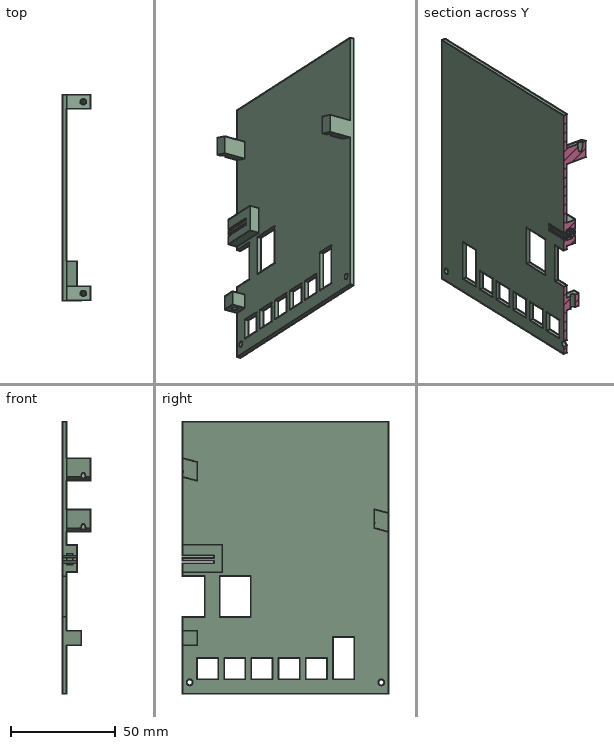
import cadquery as cq
import math

PANEL_THICKNESS = 2.1
PANEL_WIDTH = 98.5
PANEL_HEIGHT = 130.0
LEFT_EDGE = PANEL_WIDTH / 2
RIGHT_EDGE = -PANEL_WIDTH / 2
HOLE_DIAMETER = 2.7

BUTTON_SIZE = 10.0
BUTTON_PITCH = 13.0
BUTTON_COUNT = 5
BUTTON_SILL = 7.0
FIRST_BUTTON_OFFSET = 29.5
TALL_WINDOW_HEIGHT = 2 * BUTTON_SIZE
TALL_WINDOW_OFFSET = FIRST_BUTTON_OFFSET - BUTTON_PITCH

CONNECTOR_SILL = 36.8
CONNECTOR_HEIGHT = 19.5
CONNECTOR_OFFSET = 65.9
CONNECTOR_WIDTH = 14.7
NOTCH_DEPTH = 10.7

CORNER_HOLE_INSET = 3.5
CORNER_HOLE_HEIGHT = 5.5

BLOCK_REACH = 13.5
BLOCK_WIDTH = 6.8
BLOCK_HEIGHT = 9.0
BLOCK_SLANT = 15.0
BLOCK_HOLE_TILT = 18.0
BLOCK_HOLE_X = 10.0
RIGHT_BLOCK_TOP = 112.6
LEFT_BLOCK_TOP = 88.1
RIGHT_BLOCK_INSET = 0.3

LUG_SIZE = 7.0
LUG_BOTTOM = 23.1

GUIDE_REACH = 7.0
GUIDE_WIDTH = 19.0
GUIDE_HEIGHT = 13.0
GUIDE_BOTTOM = 58.1
SLOT_LENGTH = 15.1
SLOT_HEIGHT = 1.0
SLOT_CENTER = 64.2
TONGUE_HEIGHT = 1.4
POCKET_HEIGHT = 5.3
POCKET_REACH = 2.9
POCKET_DEPTH = 5.2


def box(x_min, x_max, y_min, y_max, z_min, z_max):
    """Axis-aligned box given by its limits."""
    size = (x_max - x_min, y_max - y_min, z_max - z_min)
    return cq.Workplane().box(*size, centered=False).translate((x_min, y_min, z_min))


def window(offset, width, sill, height):
    """Cutter through the panel, its offset measured from the +Y edge."""
    y_max = LEFT_EDGE - offset
    return box(0, PANEL_THICKNESS, y_max - width, y_max, sill, sill + height)


def slanted_block(y_min, top):
    """Block with slanted ends falling toward +Y and a hole leaning toward -Y as it goes down."""
    drop = BLOCK_WIDTH * math.tan(math.radians(BLOCK_SLANT))
    y_max = y_min + BLOCK_WIDTH
    outline = [
        (y_min, top),
        (y_max, top - drop),
        (y_max, top - drop - BLOCK_HEIGHT),
        (y_min, top - BLOCK_HEIGHT),
    ]
    block = cq.Workplane("YZ").polyline(outline).close().extrude(BLOCK_REACH)
    tilt = math.radians(BLOCK_HOLE_TILT)
    axis = cq.Vector(0, math.sin(tilt), math.cos(tilt))
    hole_mouth = cq.Vector(BLOCK_HOLE_X, y_min + BLOCK_WIDTH / 2, top - drop / 2)
    hole = cq.Solid.makeCylinder(
        HOLE_DIAMETER / 2, 4 * BLOCK_HEIGHT, hole_mouth - axis * (2 * BLOCK_HEIGHT), axis
    )
    return block.cut(cq.Workplane(hole))


def lug():
    """Square lug with a vertical hole through its middle."""
    x_max = PANEL_THICKNESS + LUG_SIZE
    body = box(0, x_max, RIGHT_EDGE, RIGHT_EDGE + LUG_SIZE, LUG_BOTTOM, LUG_BOTTOM + LUG_SIZE)
    hole = (
        cq.Workplane()
        .center(PANEL_THICKNESS + LUG_SIZE / 2, RIGHT_EDGE + LUG_SIZE / 2)
        .circle(HOLE_DIAMETER / 2)
        .extrude(PANEL_HEIGHT)
    )
    return body.cut(hole)


panel = box(0, PANEL_THICKNESS, RIGHT_EDGE, LEFT_EDGE, 0, PANEL_HEIGHT)
panel = panel.cut(window(TALL_WINDOW_OFFSET, BUTTON_SIZE, BUTTON_SILL, TALL_WINDOW_HEIGHT))
for index in range(BUTTON_COUNT):
    button_offset = FIRST_BUTTON_OFFSET + index * BUTTON_PITCH
    panel = panel.cut(window(button_offset, BUTTON_SIZE, BUTTON_SILL, BUTTON_SIZE))
panel = panel.cut(window(CONNECTOR_OFFSET, CONNECTOR_WIDTH, CONNECTOR_SILL, CONNECTOR_HEIGHT))
panel = panel.cut(window(PANEL_WIDTH - NOTCH_DEPTH, NOTCH_DEPTH, CONNECTOR_SILL, CONNECTOR_HEIGHT))

corner_holes = (
    cq.Workplane("YZ")
    .pushPoints([(side * (LEFT_EDGE - CORNER_HOLE_INSET), CORNER_HOLE_HEIGHT) for side in (-1, 1)])
    .circle(HOLE_DIAMETER / 2)
    .extrude(PANEL_THICKNESS)
)
panel = panel.cut(corner_holes)

result = (
    panel.union(slanted_block(RIGHT_EDGE + RIGHT_BLOCK_INSET, RIGHT_BLOCK_TOP))
    .union(slanted_block(LEFT_EDGE - BLOCK_WIDTH, LEFT_BLOCK_TOP))
    .union(lug())
)

guide_top = GUIDE_BOTTOM + GUIDE_HEIGHT
result = result.union(
    box(0, GUIDE_REACH, RIGHT_EDGE, RIGHT_EDGE + GUIDE_WIDTH, GUIDE_BOTTOM, guide_top)
)
slot_offset = (TONGUE_HEIGHT + SLOT_HEIGHT) / 2
for side in (-1, 1):
    slot_bottom = SLOT_CENTER + side * slot_offset - SLOT_HEIGHT / 2
    slot_top = slot_bottom + SLOT_HEIGHT
    result = result.cut(
        box(0, GUIDE_REACH, RIGHT_EDGE, RIGHT_EDGE + SLOT_LENGTH, slot_bottom, slot_top)
    )
pocket_bottom = SLOT_CENTER - POCKET_HEIGHT / 2
result = result.cut(
    box(
        PANEL_THICKNESS,
        PANEL_THICKNESS + POCKET_REACH,
        RIGHT_EDGE,
        RIGHT_EDGE + POCKET_DEPTH,
        pocket_bottom,
        pocket_bottom + POCKET_HEIGHT,
    )
)